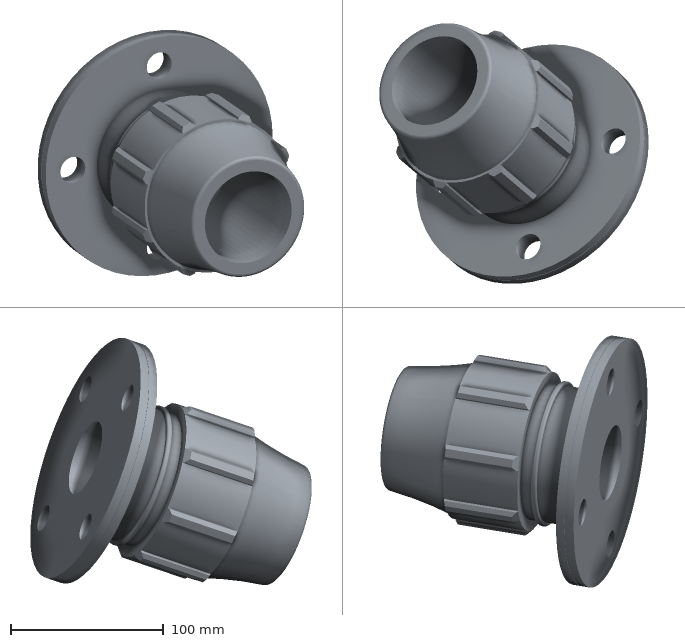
import cadquery as cq

plate_thickness = 6.0
flange_end = 12.0
ring_start = 36.3
ring_width = 3.8
nut_start = 47.7
nut_end = 98.5
tail_end = 145.0

flange_radius = 82.5
seam_width = 0.5
seam_depth = 0.3
bolt_count = 4
bolt_hole_diameter = 18.0
bolt_circle_radius = 62.7

neck_radius = 90.5 / 2
ring_radius = 96.0 / 2
ring_fillet = 1.3
nut_radius = 52.6

rib_count = 8
rib_top_radius = 56.5
rib_shoulder_radius = 53.8
rib_top_width = 5.5
rib_base_width = 9.9
rib_front_slope = 3.5
rib_rear_slope = 1.5
rib_root_depth = 1.6

tail_start_radius = 50.8
tail_end_radius = 41.2
tail_sag = 1.2
tail_fillet = 2.1

bore_radius = 50.0 / 2
middle_bore_radius = 56.8 / 2
socket_radius = 63.0 / 2
middle_bore_start = 32.5


def cylinder(start, end, radius):
    """Solid cylinder on the X axis between two stations."""
    return cq.Workplane("YZ").workplane(offset=start).circle(radius).extrude(end - start)


def make_flange():
    flange = cylinder(0, flange_end, flange_radius)
    seam_start = plate_thickness - seam_width / 2
    seam_end = plate_thickness + seam_width / 2
    seam = cylinder(seam_start, seam_end, flange_radius).cut(
        cylinder(seam_start, seam_end, flange_radius - seam_depth)
    )
    bolt_holes = (
        cq.Workplane("YZ")
        .polarArray(bolt_circle_radius, 0, 360, bolt_count)
        .circle(bolt_hole_diameter / 2)
        .extrude(flange_end)
    )
    return flange.cut(seam).cut(bolt_holes)


def make_ring():
    return cylinder(ring_start, ring_start + ring_width, ring_radius).edges().fillet(ring_fillet)


def make_rib():
    """One rib on the +Z side, straight at its foot, narrowing above the shoulder and sloped at both ends."""
    root_radius = nut_radius - rib_root_depth
    section = (
        cq.Workplane("YZ")
        .workplane(offset=nut_start)
        .polyline([
            (-rib_base_width / 2, root_radius),
            (-rib_base_width / 2, rib_shoulder_radius),
            (-rib_top_width / 2, rib_top_radius),
            (rib_top_width / 2, rib_top_radius),
            (rib_base_width / 2, rib_shoulder_radius),
            (rib_base_width / 2, root_radius),
        ])
        .close()
        .extrude(nut_end - nut_start)
    )
    side_profile = (
        cq.Workplane("XZ")
        .polyline([
            (nut_start, root_radius),
            (nut_start, nut_radius),
            (nut_start + rib_front_slope, rib_top_radius),
            (nut_end - rib_rear_slope, rib_top_radius),
            (nut_end, nut_radius),
            (nut_end, root_radius),
        ])
        .close()
        .extrude(rib_base_width, both=True)
    )
    return section.intersect(side_profile)


def make_nut():
    nut = cylinder(nut_start, nut_end, nut_radius)
    rib = make_rib()
    pitch = 360 / rib_count
    for index in range(rib_count):
        nut = nut.union(rib.rotate((0, 0, 0), (1, 0, 0), (index + 0.5) * pitch))
    return nut


def make_tail():
    flank_middle = (
        (nut_end + tail_end) / 2,
        (tail_start_radius + tail_end_radius) / 2 - tail_sag,
    )
    tail = (
        cq.Workplane("XY")
        .moveTo(nut_end, 0)
        .lineTo(nut_end, tail_start_radius)
        .threePointArc(flank_middle, (tail_end, tail_end_radius))
        .lineTo(tail_end, 0)
        .close()
        .revolve(360, (0, 0, 0), (1, 0, 0))
    )
    return tail.faces(">X").edges().fillet(tail_fillet)


def make_bore():
    through = cylinder(0, tail_end, bore_radius)
    middle = cylinder(middle_bore_start, tail_end, middle_bore_radius)
    socket = cylinder(nut_start, tail_end, socket_radius)
    return through.union(middle).union(socket)


neck = cylinder(flange_end, nut_start, neck_radius)
body = make_flange().union(neck).union(make_ring()).union(make_nut()).union(make_tail())
result = body.cut(make_bore())